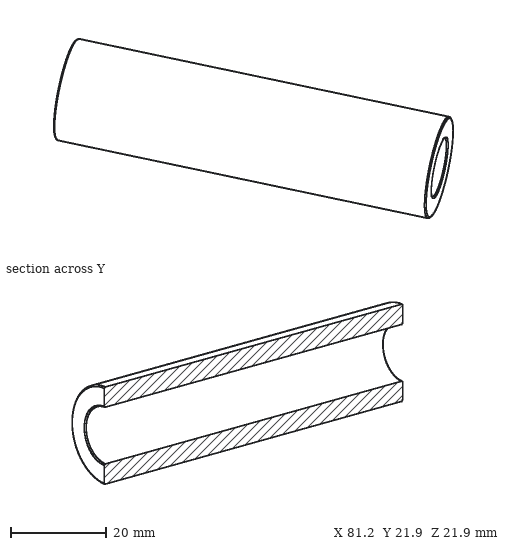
import cadquery as cq

length = 81.25
outer_diameter = 21.85
bore_diameter = 12.6
edge_chamfer = 0.29

sleeve = (
    cq.Workplane("YZ", origin=(-length / 2, 0, 0))
    .circle(outer_diameter / 2)
    .circle(bore_diameter / 2)
    .extrude(length)
)

result = sleeve.faces("<X or >X").edges().chamfer(edge_chamfer)